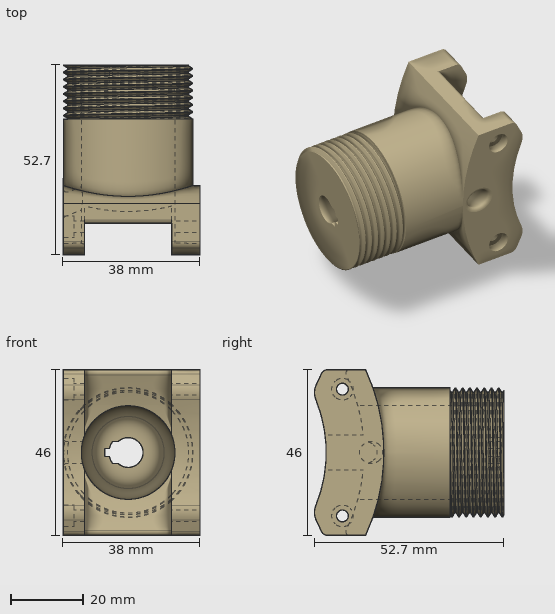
import cadquery as cq
import math

flange_left = -18.0
flange_right = 20.0
half_height = 23.0
slot_half_width = 12.05
back_y = 19.25
saddle_radius = 54.95
web_thickness = 5.5
arm_depth = 16.0
arm_nose_radius = 5.0
arm_slope_angle = 25.0
arm_corner_radius = 2.0
web_lip_radius = 1.0

tube_radius = 18.0
tube_end_y = 37.65
thread_end_y = 52.65
thread_root_radius = 16.8
thread_crest_radius = 17.9
thread_pitch = 2.0
thread_base_width = 1.6
thread_crest_width = 0.2
thread_overlap = 0.2
spare_turns = 2

clearance = 0.55

bore_radius = 13.0
bore_fillet = 3.0
end_wall = 5.0
keyhole_radius = 4.1
key_outer_radius = 5.25
key_half_height = 3.0
key_slot_reach = 6.4
key_slot_half_height = 1.05

screw_y = 7.8
screw_z = 17.6
screw_diameter = 3.2
counterbore_diameter = 6.0
counterbore_depth = 3.0
port_y = 13.7
port_diameter = 6.0
port_tilt = 22.0
port_rim_radius = 1.0

saddle_center_y = back_y - saddle_radius
web_front_radius = saddle_radius - web_thickness
arm_front_radius = saddle_radius - arm_depth


def on_circle(center, radius, degrees):
    """Point on a circle in the YZ plane, with the angle measured from +Y towards +Z."""
    angle = math.radians(degrees)
    return center[0] + radius * math.cos(angle), center[1] + radius * math.sin(angle)


def on_saddle(radius, z):
    """Point at height z on a saddle arc of the given radius."""
    return saddle_center_y + math.sqrt(radius**2 - z**2), z


def x_prism(half_outline, x_start, x_end):
    """Mirror a half outline about Z = 0 and extrude it along X."""
    return half_outline.mirrorX().extrude(x_end - x_start)


def arm(x_start, x_end):
    nose_distance = arm_front_radius + arm_nose_radius
    nose_reach = arm_nose_radius - saddle_center_y
    nose_center = (arm_nose_radius, math.sqrt(nose_distance**2 - nose_reach**2))
    front_end_z = nose_center[1] * arm_front_radius / nose_distance
    slope_start = on_circle(nose_center, arm_nose_radius, 180 - arm_slope_angle)
    nose_tip = (0, nose_center[1])

    slope_tan = math.tan(math.radians(arm_slope_angle))
    sharp_y = slope_start[0] + (half_height - slope_start[1]) * slope_tan
    tangent_length = arm_corner_radius * math.tan(math.radians((90 - arm_slope_angle) / 2))
    corner_center = (sharp_y + tangent_length, half_height - arm_corner_radius)
    corner_start = on_circle(corner_center, arm_corner_radius, 180 - arm_slope_angle)
    corner_middle = on_circle(corner_center, arm_corner_radius, 135 - arm_slope_angle / 2)

    outline = (
        cq.Workplane("YZ", origin=(x_start, 0, 0))
        .moveTo(*on_saddle(arm_front_radius, 0))
        .threePointArc(
            on_saddle(arm_front_radius, front_end_z / 2),
            on_saddle(arm_front_radius, front_end_z),
        )
        .threePointArc(nose_tip, slope_start)
        .lineTo(*corner_start)
        .threePointArc(corner_middle, (corner_center[0], half_height))
        .lineTo(*on_saddle(saddle_radius, half_height))
        .threePointArc(on_saddle(saddle_radius, half_height / 2), (back_y, 0))
    )
    return x_prism(outline, x_start, x_end)


def web():
    outline = (
        cq.Workplane("YZ", origin=(-slot_half_width, 0, 0))
        .moveTo(*on_saddle(web_front_radius, 0))
        .threePointArc(
            on_saddle(web_front_radius, half_height / 2),
            on_saddle(web_front_radius, half_height),
        )
        .lineTo(*on_saddle(saddle_radius, half_height))
        .threePointArc(on_saddle(saddle_radius, half_height / 2), (back_y, 0))
    )
    plate = x_prism(outline, -slot_half_width, slot_half_width)
    return plate.edges("|X").edges("<Y").fillet(web_lip_radius)


def y_cylinder(radius, y_start, y_end):
    plane = cq.Workplane("XZ", origin=(0, y_start, 0))
    return plane.circle(radius).extrude(y_start - y_end)


def thread():
    turns = math.ceil((thread_end_y - tube_end_y) / thread_pitch) + spare_turns
    start_y = thread_end_y + thread_pitch - turns * thread_pitch
    length = turns * thread_pitch
    foot_radius = thread_root_radius - thread_overlap
    thread_depth = thread_crest_radius - thread_root_radius
    flank_slope = (thread_base_width - thread_crest_width) / 2 / thread_depth
    foot_half = thread_base_width / 2 + thread_overlap * flank_slope
    crest_half = thread_crest_width / 2
    path = cq.Wire.makeHelix(thread_pitch, length, foot_radius)
    ridge = (
        cq.Workplane("XZ")
        .polyline(
            [
                (foot_radius, -foot_half),
                (thread_crest_radius, -crest_half),
                (thread_crest_radius, crest_half),
                (foot_radius, foot_half),
            ]
        )
        .close()
        .sweep(cq.Workplane(path), isFrenet=True)
    )
    ridge = (
        ridge.rotate((0, 0, 0), (0, 0, 1), 180)
        .rotate((0, 0, 0), (1, 0, 0), -90)
        .translate((0, start_y, 0))
    )
    core_end_y = thread_end_y + spare_turns * thread_pitch + thread_pitch
    core = y_cylinder(thread_root_radius, start_y - thread_pitch, core_end_y)
    overshoot = y_cylinder(tube_radius, thread_end_y, core_end_y)
    return core.union(ridge).cut(overshoot)


def bore():
    return y_cylinder(bore_radius, 0, thread_end_y - end_wall).faces(">Y").edges().fillet(bore_fillet)


def keyhole():
    start_y = thread_end_y - end_wall - clearance
    end_y = thread_end_y + clearance

    def key_box(reach, half_size):
        box = cq.Workplane("XY").box(reach, end_y - start_y, 2 * half_size)
        return box.translate((-reach / 2, (start_y + end_y) / 2, 0))

    key = y_cylinder(key_outer_radius, start_y, end_y).intersect(key_box(key_slot_reach, key_half_height))
    slot = key_box(key_slot_reach, key_slot_half_height)
    return y_cylinder(keyhole_radius, start_y, end_y).union(key).union(slot)


def screw_holes():
    centers = [(screw_y, screw_z), (screw_y, -screw_z)]
    plane = cq.Workplane("YZ", origin=(flange_left, 0, 0)).pushPoints(centers)
    through = plane.circle(screw_diameter / 2).extrude(flange_right - flange_left)
    counterbore = plane.circle(counterbore_diameter / 2).extrude(counterbore_depth)
    return through.union(counterbore)


def port():
    tilt = math.radians(port_tilt)
    direction = cq.Vector(math.cos(tilt), math.sin(tilt), 0)
    entry = cq.Vector(flange_left, port_y, 0)
    start = entry - direction * port_diameter
    return cq.Workplane(
        cq.Solid.makeCylinder(port_diameter / 2, port_diameter + bore_radius, start, direction)
    )


def flange():
    return web().union(arm(flange_left, -slot_half_width)).union(arm(slot_half_width, flange_right))


def tube():
    start_y = on_saddle(saddle_radius, half_height)[0]
    return y_cylinder(tube_radius, start_y, tube_end_y).union(thread())


def round_port_rim(body):
    port_rim = cq.selectors.BoxSelector(
        (flange_left - clearance, port_y - port_diameter / 2, -port_diameter / 2),
        (flange_left + clearance, port_y + port_diameter / 2, port_diameter / 2),
    )
    return body.edges(port_rim).fillet(port_rim_radius)


body = flange().union(tube()).cut(bore()).cut(keyhole()).cut(screw_holes()).cut(port())
result = round_port_rim(body)